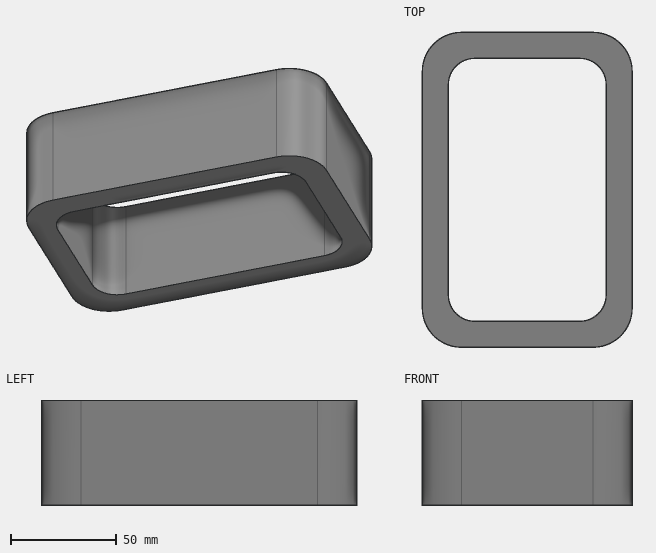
import cadquery as cq

length = 150.0
width = length * 2 / 3
height = length / 3
wall = length / 12
outer_corner_radius = 18.8
inner_corner_radius = 12.5


def rounded_block(size_x, size_y, corner_radius):
    """Upright block standing on Z = 0 with rounded vertical edges."""
    block = cq.Workplane("XY").box(size_x, size_y, height, centered=(True, True, False))
    return block.edges("|Z").fillet(corner_radius)


body = rounded_block(width, length, outer_corner_radius)
opening = rounded_block(width - 2 * wall, length - 2 * wall, inner_corner_radius)
result = body.cut(opening)